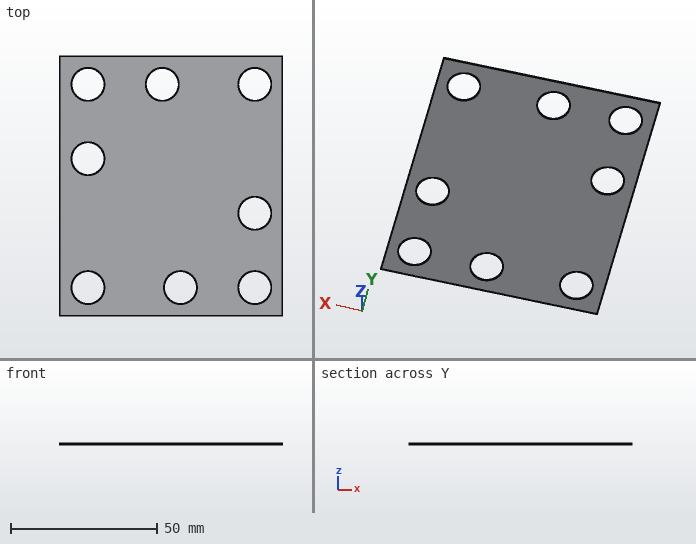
import cadquery as cq

width = 76.2
length = 88.9
thickness = 0.5

hole_diameter = 11.2
left_inset = 9.7
right_inset = 9.4
end_inset = 9.7
hole_spacing = 25.4

left_x = -width / 2 + left_inset
right_x = width / 2 - right_inset
back_y = length / 2 - end_inset
front_y = -back_y

corner_holes = [
    (left_x, back_y),
    (right_x, back_y),
    (left_x, front_y),
    (right_x, front_y),
]

neighbour_holes = [
    (left_x + hole_spacing, back_y),
    (left_x, back_y - hole_spacing),
    (right_x - hole_spacing, front_y),
    (right_x, front_y + hole_spacing),
]

plate = cq.Workplane("XY").box(width, length, thickness)
result = (
    plate.faces(">Z")
    .workplane()
    .pushPoints(corner_holes + neighbour_holes)
    .hole(hole_diameter)
)